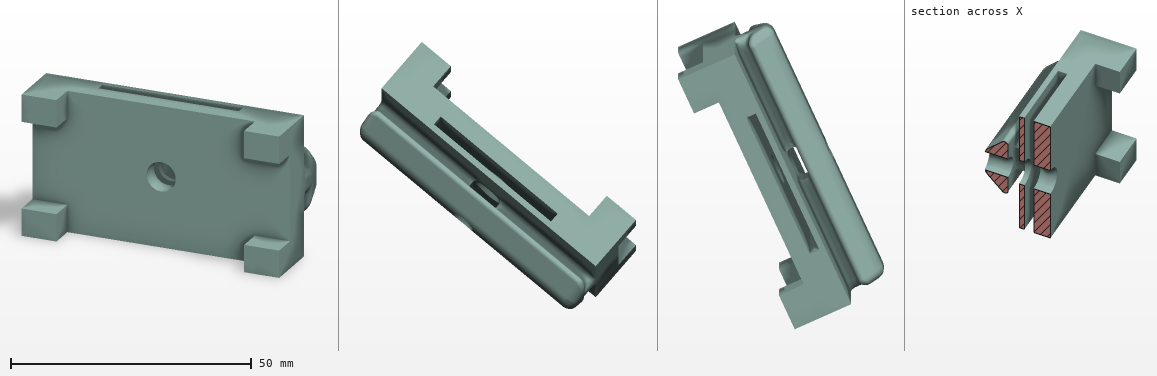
import cadquery as cq
import math

length = 58.4
depth = 21.05
height = 31.7

foot_length = 7.95
foot_depth = 5.65
foot_height = 6.15
rail_depth = 8.1
plate_back = depth - rail_depth
plate_thickness = plate_back - foot_depth

neck_half = 2.9
neck_length = 2.55
neck_embed = 2.35
crest_half = 2.9
flank_angle = math.radians(45)
head_depth = rail_depth - neck_length
head_half = crest_half + head_depth * math.tan(flank_angle)
underside = plate_back + neck_length

end_radius = 1.9
crest_radius = 3.05
tip_radius = 0.8
neck_radius = 1.0

strap_length = 31.9
strap_front = 9.5
strap_width = 2.15

window_length = 7.25
window_radius = 1.0
bore_diameter = 6.6
bolt_diameter = 5.1

tolerance = 0.005


def box(x_size, z_size, y_start, y_size):
    """Box centred on X and Z, starting at y_start."""
    return cq.Workplane("XY").box(x_size, y_size, z_size).translate((0, y_start + y_size / 2, 0))


def hole(diameter, y_start, y_size):
    """Cylinder along +Y on the part's centre line."""
    return cq.Workplane("XZ", origin=(0, y_start, 0)).circle(diameter / 2).extrude(-y_size)


def long_edges(body, y, z):
    """The edges that run along X at +z and -z."""
    def matches(edge):
        centre = edge.Center()
        return abs(centre.y - y) < tolerance and abs(abs(centre.z) - z) < tolerance

    return body.edges("|X").filter(matches)


def make_plate():
    """Flat plate with a foot at each front corner."""
    plate = box(length, height, foot_depth, plate_thickness)
    feet = (
        cq.Workplane("XZ")
        .rect(length - foot_length, height - foot_height, forConstruction=True)
        .vertices()
        .rect(foot_length, foot_height)
        .extrude(-foot_depth)
    )
    return plate.union(feet)


def make_head():
    """Trapezoid bar with rounded tips, ends and crest."""
    outline = [
        (underside, -head_half),
        (depth, -crest_half),
        (depth, crest_half),
        (underside, head_half),
    ]
    head = cq.Workplane("YZ").polyline(outline).close().extrude(length / 2, both=True)
    head = long_edges(head, underside, head_half).fillet(tip_radius)
    head = head.faces("<X or >X").edges().fillet(end_radius)
    return long_edges(head, depth, crest_half).fillet(crest_radius)


def make_neck():
    """Neck with rounded vertical corners, reaching into the plate and the head."""
    neck = box(length, 2 * neck_half, plate_back - neck_embed, neck_length + 2 * neck_embed)
    return neck.edges("|Y").fillet(end_radius)


def make_rail():
    """Head, neck and their blend, on a pad wide enough to carry the blend round the ends."""
    pad = box(length + 4 * neck_radius, height, plate_back - neck_embed, neck_embed)
    rail = pad.union(make_neck()).union(make_head())
    rail = long_edges(rail, plate_back, neck_half).fillet(neck_radius)
    rail = long_edges(rail, underside, neck_half).fillet(neck_radius)
    return rail.intersect(box(length, height, 0, depth))


body = make_plate().union(make_rail())

strap_slot = box(strap_length, height, strap_front, strap_width)
window = box(window_length, height, plate_back, neck_length).edges("|Z").fillet(window_radius)
bore = hole(bore_diameter, 0, plate_back + neck_length / 2)
bolt_hole = hole(bolt_diameter, plate_back, rail_depth)

result = body.cut(strap_slot).cut(window).cut(bore).cut(bolt_hole)